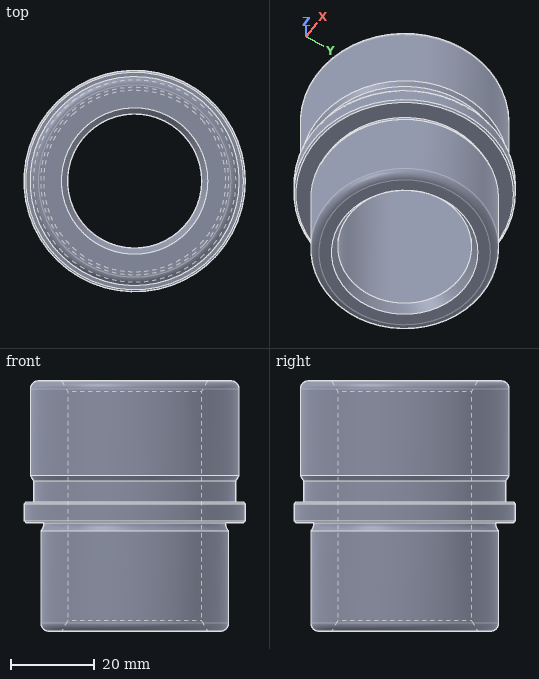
import cadquery as cq

height = 60.0
flange_bottom = 26.0
flange_top = 31.0
groove_top = 36.0

flange_radius = 26.5
head_radius = 25.0
groove_radius = 24.25
spigot_radius = 22.5
bore_radius = 16.0

end_rounding = 2.0
head_chamfer_height = 1.3
flange_chamfer = 0.5
neck_height = 2.0
neck_depth = 0.7
bore_chamfer = 1.5
bore_chamfer_length = 2.6

neck_arc_radius = (neck_height**2 + neck_depth**2) / (2 * neck_depth)
neck_mid_offset = neck_arc_radius - (neck_arc_radius**2 - (neck_height / 2) ** 2) ** 0.5
neck_radius = spigot_radius - neck_depth


def corner_arc_midpoint(radius, level, direction):
    """Middle of the quarter-round whose sharp corner is at (radius, level)."""
    inset = end_rounding * (1 - 0.5**0.5)
    return (radius - inset, level - direction * inset)


profile = (
    cq.Workplane("XZ")
    .moveTo(bore_radius + bore_chamfer, 0)
    .lineTo(spigot_radius - end_rounding, 0)
    .threePointArc(corner_arc_midpoint(spigot_radius, 0, -1), (spigot_radius, end_rounding))
    .lineTo(spigot_radius, flange_bottom - neck_height)
    .threePointArc(
        (neck_radius + neck_mid_offset, flange_bottom - neck_height / 2),
        (neck_radius, flange_bottom),
    )
    .lineTo(flange_radius - flange_chamfer, flange_bottom)
    .lineTo(flange_radius, flange_bottom + flange_chamfer)
    .lineTo(flange_radius, flange_top - flange_chamfer)
    .lineTo(flange_radius - flange_chamfer, flange_top)
    .lineTo(groove_radius, flange_top)
    .lineTo(groove_radius, groove_top)
    .lineTo(head_radius, groove_top + head_chamfer_height)
    .lineTo(head_radius, height - end_rounding)
    .threePointArc(corner_arc_midpoint(head_radius, height, 1), (head_radius - end_rounding, height))
    .lineTo(bore_radius + bore_chamfer, height)
    .lineTo(bore_radius, height - bore_chamfer_length)
    .lineTo(bore_radius, bore_chamfer_length)
    .close()
)

result = profile.revolve(360, (0, 0, 0), (0, 1, 0))